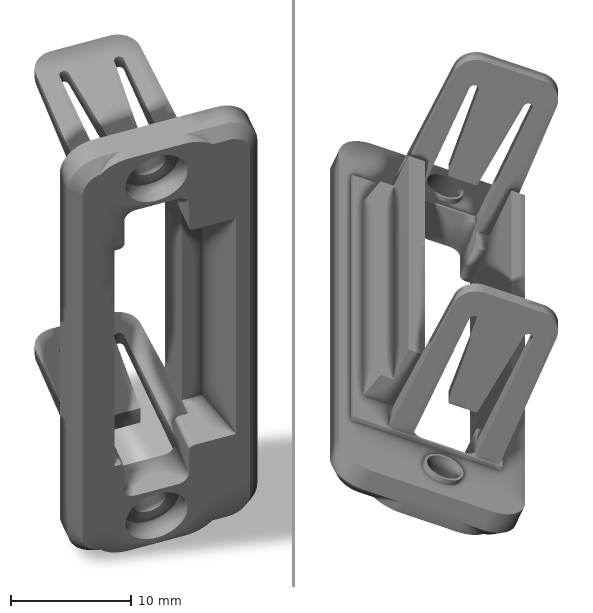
import cadquery as cq
import math


plate_length = 49.05
plate_width = 16.75
plate_thickness = 3.0
corner_radius = 3.0
bevel_depth = 1.0
bevel_inset = 1.0

socket_y = -0.9

pad_height = 0.5
pad_top_y = 7.35
pad_bottom_y = -6.15
pad_half_length = 18.1
pad_x = -pad_height

screw_z = 21.1
screw_diameter = 3.05
collar_diameter = 3.5
head_diameter = 5.5
head_seat_x = 1.05

land_flat_half_width = 2.5
land_corner_radius = 3.45

clip_length = 15.5
clip_top_z = 17.95
clip_root_thickness = 2.05
clip_tip_thickness = 1.2
clip_root_half_width = 4.95
clip_tip_half_width = 4.55
clip_corner_radius = 2.0
clip_tip_x = pad_x - clip_length
slot_half_width = 2.85
slot_depth = 13.05
slot_end_radius = 0.415
tongue_gap = 4.1
tongue_half_width = 1.3

rail_half_length = 14.52
rail_height = 5.75
rail_tip_x = pad_x - rail_height
lower_rail_y = (-5.85, -4.6)
upper_rail_inner_y = 3.15
upper_rail_tip_y = 4.65
upper_rail_step_y = 5.85
upper_rail_root_y = 6.45
upper_rail_step_height = 2.5
upper_rail_step_x = pad_x - upper_rail_step_height

window_half_length = 13.5
window_corner_radius = 0.5
notch_half_length = 17.85
notch_corner_radius = 1.0
hollow_x = -2.05
rail_wall = 1.15


def box(x_range, y_range, z_range):
    """Box spanning the given (low, high) ranges."""
    size = [high - low for low, high in (x_range, y_range, z_range)]
    corner = cq.Vector(x_range[0], y_range[0], z_range[0])
    return cq.Workplane(cq.Solid.makeBox(*size, corner))


def both_ends(body):
    """The body together with its mirror image at the other end of the plate."""
    return body.union(body.mirror("XY"))


def prism_along_z(points, half_length):
    """Closed XY outline extruded symmetrically about z = 0."""
    return cq.Workplane("XY").polyline(points).close().extrude(half_length, both=True)


def rounded_slab(x, depth, taper=0):
    """Plate outline with rounded corners, extruded towards +X from the plane at x."""
    outline = cq.Sketch().rect(plate_width, plate_length).vertices().fillet(corner_radius)
    return cq.Workplane("YZ", origin=(x, 0, 0)).placeSketch(outline).extrude(depth, taper=taper)


def make_plate():
    """Rounded plate with its front rim bevelled all round."""
    edge_depth = plate_thickness - bevel_depth
    bevel_angle = math.degrees(math.atan2(bevel_inset, bevel_depth))
    return rounded_slab(0, edge_depth).union(rounded_slab(edge_depth, bevel_depth, bevel_angle))


def make_land():
    """Round-cornered block filling the bevel at the middle of the +Z end."""
    half_width = land_flat_half_width + land_corner_radius
    end_z = plate_length / 2
    block = box(
        (plate_thickness - bevel_depth, plate_thickness),
        (socket_y - half_width, socket_y + half_width),
        (end_z - 2 * land_corner_radius, end_z),
    )
    rounded = block.edges("|X and >Z").fillet(land_corner_radius)
    rim = box(
        (0, plate_thickness),
        (socket_y - half_width, socket_y + half_width),
        (end_z - bevel_inset, end_z),
    )
    return rounded.intersect(rim)


def x_cylinder(diameter, x_start, x_end):
    """Cylinder on the +Z screw axis."""
    plane = cq.Workplane("YZ", origin=(x_start, socket_y, screw_z))
    return plane.circle(diameter / 2).extrude(x_end - x_start)


def make_clip():
    """Tapered clip at the +Z end with two slots that free a central tongue."""
    blade = (
        cq.Workplane("XZ", origin=(0, socket_y, 0))
        .polyline([
            (clip_tip_x, clip_top_z),
            (0, clip_top_z),
            (0, clip_top_z - clip_root_thickness),
            (pad_x, clip_top_z - clip_root_thickness),
            (clip_tip_x, clip_top_z - clip_tip_thickness),
        ])
        .close()
        .extrude(clip_root_half_width, both=True)
    )
    outline = (
        cq.Workplane("XY", origin=(0, socket_y, 0))
        .polyline([
            (0, -clip_root_half_width),
            (pad_x, -clip_root_half_width),
            (clip_tip_x, -clip_tip_half_width),
            (clip_tip_x, clip_tip_half_width),
            (pad_x, clip_root_half_width),
            (0, clip_root_half_width),
        ])
        .close()
        .extrude(plate_length / 2)
        .edges("|Z and <X")
        .fillet(clip_corner_radius)
    )
    slot_end_x = pad_x - slot_depth
    tongue_x = pad_x - tongue_gap
    gap = (
        cq.Workplane("XY", origin=(0, socket_y, 0))
        .moveTo(0, slot_half_width)
        .lineTo(slot_end_x + slot_end_radius, slot_half_width)
        .threePointArc(
            (slot_end_x, slot_half_width - slot_end_radius),
            (slot_end_x + slot_end_radius, slot_half_width - 2 * slot_end_radius),
        )
        .lineTo(tongue_x, tongue_half_width)
        .lineTo(tongue_x, 0)
        .lineTo(0, 0)
        .close()
        .extrude(plate_length / 2)
    )
    gaps = gap.union(gap.mirror("XZ", (0, socket_y, 0)))
    return blade.intersect(outline).cut(gaps)


def make_rails():
    """Plain rail at -Y and a stepped rail with a slanted flank at +Y."""
    lower = box((rail_tip_x, 0), lower_rail_y, (-rail_half_length, rail_half_length))
    upper = prism_along_z(
        [
            (0, upper_rail_inner_y),
            (rail_tip_x, upper_rail_inner_y),
            (rail_tip_x, upper_rail_tip_y),
            (upper_rail_step_x, upper_rail_tip_y),
            (upper_rail_step_x, upper_rail_step_y),
            (pad_x, upper_rail_root_y),
            (0, upper_rail_root_y),
        ],
        rail_half_length,
    )
    return lower.union(upper)


def make_window():
    """Opening whose +Y wall runs parallel to the slanted flank of the upper rail."""
    flank_slope = (upper_rail_root_y - upper_rail_step_y) / (pad_x - upper_rail_step_x)

    def wall_y(x):
        return upper_rail_root_y - rail_wall + flank_slope * (x - pad_x)

    main = prism_along_z(
        [
            (hollow_x, lower_rail_y[1]),
            (plate_thickness, lower_rail_y[1]),
            (plate_thickness, wall_y(plate_thickness)),
            (hollow_x, wall_y(hollow_x)),
        ],
        window_half_length,
    )
    notch = box(
        (pad_x, plate_thickness),
        (socket_y - slot_half_width, socket_y + slot_half_width),
        (-notch_half_length, notch_half_length),
    )
    notch = notch.edges("|X").fillet(notch_corner_radius)
    return main.union(notch)


def round_window_corners(body):
    """Round the four convex corners where the notch opens into the window."""
    reach = window_corner_radius / 2
    for y in (socket_y - slot_half_width, socket_y + slot_half_width):
        for z in (-window_half_length, window_half_length):
            low_corner = (pad_x, y - reach, z - reach)
            high_corner = (plate_thickness, y + reach, z + reach)
            corner_edge = cq.selectors.BoxSelector(low_corner, high_corner)
            body = body.edges(corner_edge).fillet(window_corner_radius)
    return body


plate = make_plate().union(both_ends(make_land()))
pad = box((pad_x, 0), (pad_bottom_y, pad_top_y), (-pad_half_length, pad_half_length))
collars = both_ends(x_cylinder(collar_diameter, pad_x, 0))
screw_holes = both_ends(x_cylinder(screw_diameter, pad_x, plate_thickness))
head_recesses = both_ends(x_cylinder(head_diameter, head_seat_x, plate_thickness))

body = (
    plate.union(pad)
    .union(collars)
    .union(make_rails())
    .union(both_ends(make_clip()))
    .cut(make_window())
    .cut(screw_holes)
    .cut(head_recesses)
)

result = round_window_corners(body)